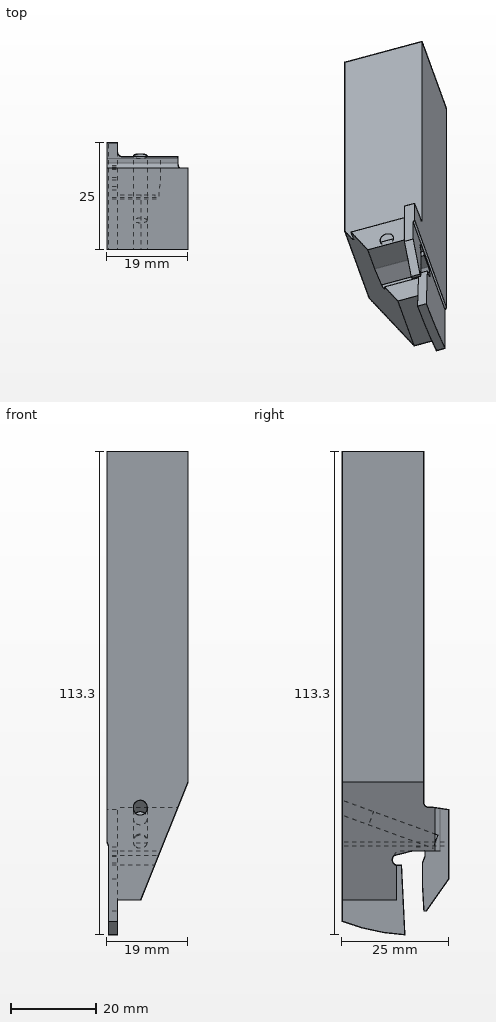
import cadquery as cq
import math

LENGTH = 113.3
SHANK_WIDTH = 19.0
SHANK_DEPTH = 19.1
HEAD_DEPTH = 25.0

BEVEL_TOP_Z = 35.8
BEVEL_FOOT_X = 7.9
HEAD_FOOT_Z = 8.2

SHOULDER_Z = 29.9
SHOULDER_FLAT_END_Y = 21.3
SHOULDER_TIP_Z = 29.3
SHOULDER_FILLET = 1.1
FLANGE_Y = 21.8
FLANGE_FILLET = 1.1

BLADE_BACK_X = 2.5
RELIEF = 0.3
RELIEF_TOP_Z = 21.8
RELIEF_FOOT_Z = 20.8

SEAT_TIP_Y = 14.7
SEAT_TOP = (13.9, 16.3)
BLADE_HEEL_Z = 3.2
BLADE_ARC_MID = (7.1, 1.0)

SLOT_POCKET_START = (12.8, 16.3)
SLOT_END = (11.8, 17.7)
SLOT_POCKET_TOP = (12.2, 18.6)
SLOT_ROOF_Z = 19.6
SLOT_SLOPE_START_Y = 16.3
BLADE_ROOF_ARC_MID = (12.5, 19.1)
BLADE_ROOF_END_Y = 13.1
NOTCH_TOP_Z = 20.6
NOTCH_TOP_START_Y = 16.9
NOTCH_TOP_END_Y = 18.7

JAW_ROOT_Y = 19.4
JAW_ROOT_FOOT_Z = 18.4
JAW_GRIP_Y = 18.8
JAW_GRIP_TOP_Z = 16.9
JAW_GRIP_FOOT_Z = 11.4
JAW_TIP_Y = 19.1
JAW_TIP_Z = 5.5
JAW_TIP_WIDTH = 0.6
JAW_BACK_Z = 13.1

SCREW_DIAMETER = 3.3
SCREW_X = 7.8
SCREW_HOLE_Z = 29.8
SCREW_TILT = math.radians(20.0)
SCREW_RECESS = 7.3
SCREW_TOP_Y = 22.4


def make_shank_and_head():
    """Square shank and shouldered head, with the sloping slot roof and pocket."""
    outline = (
        cq.Workplane("YZ")
        .moveTo(0, HEAD_FOOT_Z)
        .lineTo(0, LENGTH)
        .lineTo(SHANK_DEPTH, LENGTH)
        .lineTo(SHANK_DEPTH, SHOULDER_Z + SHOULDER_FILLET)
        .radiusArc((SHANK_DEPTH + SHOULDER_FILLET, SHOULDER_Z), -SHOULDER_FILLET)
        .lineTo(SHOULDER_FLAT_END_Y, SHOULDER_Z)
        .lineTo(HEAD_DEPTH, SHOULDER_TIP_Z)
        .lineTo(HEAD_DEPTH, SLOT_ROOF_Z)
        .lineTo(SLOT_SLOPE_START_Y, SLOT_ROOF_Z)
        .lineTo(*SLOT_POCKET_TOP)
        .threePointArc(SLOT_END, SLOT_POCKET_START)
        .lineTo(SLOT_POCKET_START[0], HEAD_FOOT_Z)
        .close()
    )
    return outline.extrude(SHANK_WIDTH)


def make_flange_clearance():
    """Space beside the upper blade, with a rounded inner corner."""
    return (
        cq.Workplane("XY")
        .moveTo(BLADE_BACK_X, HEAD_DEPTH)
        .lineTo(BLADE_BACK_X, FLANGE_Y + FLANGE_FILLET)
        .radiusArc((BLADE_BACK_X + FLANGE_FILLET, FLANGE_Y), -FLANGE_FILLET)
        .lineTo(SHANK_WIDTH, FLANGE_Y)
        .lineTo(SHANK_WIDTH, HEAD_DEPTH)
        .close()
        .extrude(SHOULDER_Z)
    )


def make_side_bevel():
    """Wedge removed from the +X side of the head."""
    return (
        cq.Workplane("XZ")
        .moveTo(SHANK_WIDTH, BEVEL_TOP_Z)
        .lineTo(BEVEL_FOOT_X, HEAD_FOOT_Z)
        .lineTo(SHANK_WIDTH, HEAD_FOOT_Z)
        .close()
        .extrude(-HEAD_DEPTH)
    )


def make_blade():
    """Thin blade carrying the insert seat and the pointed jaw."""
    outline = (
        cq.Workplane("YZ")
        .moveTo(0, RELIEF_TOP_Z)
        .lineTo(0, BLADE_HEEL_Z)
        .threePointArc(BLADE_ARC_MID, (SEAT_TIP_Y, 0))
        .lineTo(*SEAT_TOP)
        .lineTo(*SLOT_POCKET_START)
        .threePointArc(SLOT_END, SLOT_POCKET_TOP)
        .threePointArc(BLADE_ROOF_ARC_MID, (BLADE_ROOF_END_Y, SLOT_ROOF_Z))
        .lineTo(SLOT_SLOPE_START_Y, SLOT_ROOF_Z)
        .lineTo(NOTCH_TOP_START_Y, NOTCH_TOP_Z)
        .lineTo(NOTCH_TOP_END_Y, NOTCH_TOP_Z)
        .lineTo(JAW_ROOT_Y, SLOT_ROOF_Z)
        .lineTo(JAW_ROOT_Y, JAW_ROOT_FOOT_Z)
        .lineTo(JAW_GRIP_Y, JAW_GRIP_TOP_Z)
        .lineTo(JAW_GRIP_Y, JAW_GRIP_FOOT_Z)
        .lineTo(JAW_TIP_Y, JAW_TIP_Z)
        .lineTo(JAW_TIP_Y + JAW_TIP_WIDTH, JAW_TIP_Z)
        .lineTo(HEAD_DEPTH, JAW_BACK_Z)
        .lineTo(HEAD_DEPTH, RELIEF_TOP_Z)
        .close()
    )
    return outline.extrude(BLADE_BACK_X)


def make_blade_zone():
    """Lower slab of the head whose place is taken by the blade."""
    return cq.Workplane("XY").box(BLADE_BACK_X, HEAD_DEPTH, RELIEF_TOP_Z, centered=False)


def make_relief():
    """Shallow tapered relief along the outer face of the blade."""
    return (
        cq.Workplane("XZ")
        .moveTo(0, RELIEF_TOP_Z)
        .lineTo(RELIEF, RELIEF_FOOT_Z)
        .lineTo(RELIEF, 0)
        .lineTo(0, 0)
        .close()
        .extrude(-HEAD_DEPTH)
    )


def make_screw_rod(start, end):
    """Cylinder on the screw axis between two distances from the hole mouth."""
    direction = cq.Vector(0, math.cos(SCREW_TILT), -math.sin(SCREW_TILT))
    mouth = cq.Vector(SCREW_X, 0, SCREW_HOLE_Z)
    return cq.Solid.makeCylinder(SCREW_DIAMETER / 2, end - start, mouth + direction * start, direction)


def make_holder(screw_end):
    """Shank, head and blade as one body, with the screw bore through it."""
    head = make_shank_and_head().cut(make_flange_clearance()).cut(make_side_bevel())
    holder = head.cut(make_blade_zone()).union(make_blade())
    bore = make_screw_rod(-SCREW_DIAMETER, screw_end)
    return holder.cut(make_relief()).cut(cq.Workplane(bore))


def make_screw(screw_end):
    """Plain screw sunk in its bore and standing slightly proud of the flange."""
    return make_screw_rod(SCREW_RECESS, screw_end)


screw_end = (SCREW_TOP_Y - SCREW_DIAMETER / 2 * math.sin(SCREW_TILT)) / math.cos(SCREW_TILT)

holder = make_holder(screw_end)
screw = make_screw(screw_end)
result = cq.Compound.makeCompound([holder.val(), screw])